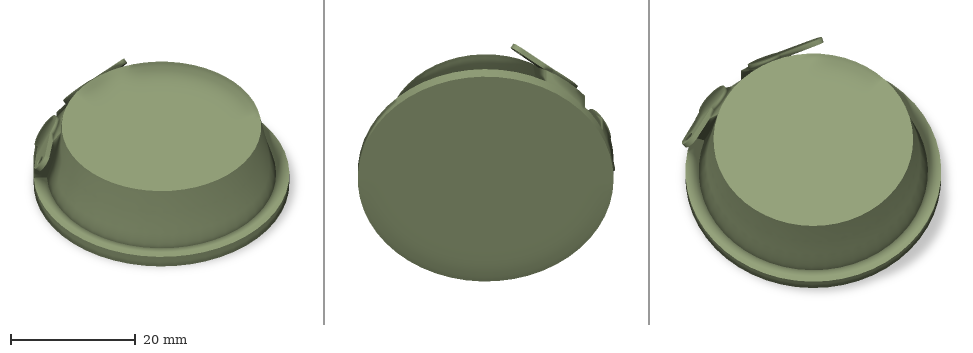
import cadquery as cq
import math

flange_radius = 20.5
flange_height = 2.0
total_height = 12.0
body_base_radius = 18.35
body_middle_radius = 17.0
body_top_radius = 16.0

pad_start_angle = 7.5
pad_end_angle = 30.0
pad_ledge_height = 5.0
pad_top_height = 11.45
pad_top_radius = 16.07
pad_core_radius = 12.3

lug_angle = 17.6
lug_face_height = 8.35
lug_face_radius = 18.85
lug_thickness = 0.8
lug_disc_radius = 2.95
arm_root_radius = 1.9
arm_tip_radius = 1.5
arm_length = 8.25
arm_rise = 0.85
eyelet_diameter = 1.6

pad_run = flange_radius - pad_top_radius
pad_rise = pad_top_height - pad_ledge_height
pad_slope = math.atan2(pad_rise, pad_run)


def make_body():
    """Flange and curved frustum, revolved about Z."""
    middle_height = (flange_height + total_height) / 2
    return (
        cq.Workplane("XZ")
        .lineTo(flange_radius, 0)
        .lineTo(flange_radius, flange_height)
        .lineTo(body_base_radius, flange_height)
        .threePointArc((body_middle_radius, middle_height), (body_top_radius, total_height))
        .lineTo(0, total_height)
        .close()
        .revolve(360, (0, 0), (0, 1))
    )


def make_pad():
    """Pad on the -X, -Y side, with radial end faces."""
    return (
        cq.Workplane("XZ")
        .moveTo(-pad_core_radius, flange_height)
        .lineTo(-flange_radius, flange_height)
        .lineTo(-flange_radius, pad_ledge_height)
        .lineTo(-pad_top_radius, pad_top_height)
        .lineTo(-pad_core_radius, pad_top_height)
        .close()
        .revolve(pad_end_angle - pad_start_angle, (0, 0), (0, 1))
        .rotate((0, 0, 0), (0, 0, 1), pad_start_angle)
    )


def make_arm():
    """Arm outline bounded by the outer tangents of its root and tip circles."""
    reach = math.hypot(arm_length, arm_rise)
    taper = math.asin((arm_root_radius - arm_tip_radius) / reach)
    sine = math.sin(taper)
    cosine = math.cos(taper)
    root = (arm_root_radius * sine, arm_root_radius * cosine)
    tip = (reach + arm_tip_radius * sine, arm_tip_radius * cosine)
    return (
        cq.Workplane("XY")
        .moveTo(root[0], -root[1])
        .lineTo(tip[0], -tip[1])
        .threePointArc((reach + arm_tip_radius, 0), tip)
        .lineTo(*root)
        .close()
        .extrude(-lug_thickness)
        .faces(">Z")
        .workplane(origin=(reach, 0, 0))
        .hole(eyelet_diameter)
        .rotate((0, 0, 0), (0, 0, 1), math.degrees(math.atan2(arm_rise, arm_length)))
    )


def make_lug():
    """Lug on the -X, -Y side, lying parallel to the sloping pad face."""
    disc = cq.Workplane("XY").circle(lug_disc_radius).extrude(-lug_thickness)
    azimuth = math.radians(180 + lug_angle)
    outward = (math.cos(azimuth), math.sin(azimuth))
    face = cq.Plane(
        origin=(lug_face_radius * outward[0], lug_face_radius * outward[1], lug_face_height),
        xDir=(-outward[1], outward[0], 0),
        normal=(
            math.sin(pad_slope) * outward[0],
            math.sin(pad_slope) * outward[1],
            math.cos(pad_slope),
        ),
    )
    lug = disc.union(make_arm()).val()
    return cq.Workplane("XY").newObject([lug.located(cq.Location(face))])


result = make_body()
for feature in (make_pad(), make_lug()):
    result = result.union(feature).union(feature.mirror("XZ"))